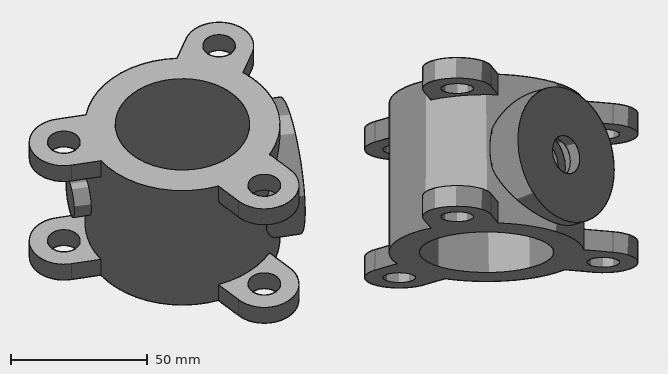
import cadquery as cq
import math

height = 57.15
mid_height = height / 2
tube_radius = 71.4375 / 2
bore_radius = 49.2125 / 2

lug_count = 3
first_lug_angle = 90
lug_circle_radius = 44.45
lug_radius = 12.7
lug_hole_radius = 11.90625 / 2
lug_thickness = 7.9375

boss_angle = 30
boss_radius = 25.4
boss_length = 14.2875
boss_start = 26.19375
boss_end = boss_start + boss_length

side_hole_radius = 14.2875 / 2
groove_radius = 22.225 / 2
groove_start = boss_start + 3.175
groove_width = 6.35

pin_angle = boss_angle + 180
pin_radius = side_hole_radius
pin_length = 6.35


def vertical_cylinder(radius):
    """Cylinder on the tube axis, over the full height."""
    return cq.Workplane("XY").circle(radius).extrude(height)


def radial_cylinder(angle, radius, start, length):
    """Level cylinder at mid height, pointing away from the tube axis."""
    direction = cq.Vector(math.cos(math.radians(angle)), math.sin(math.radians(angle)), 0)
    base = direction * start + cq.Vector(0, 0, mid_height)
    return cq.Workplane(cq.Solid.makeCylinder(radius, length, base, direction))


def make_lug(angle, bottom):
    """Round-ended lug reaching from the tube axis out to the lug circle."""
    profile = (
        cq.Workplane("XY")
        .moveTo(0, -lug_radius)
        .lineTo(lug_circle_radius, -lug_radius)
        .threePointArc((lug_circle_radius + lug_radius, 0), (lug_circle_radius, lug_radius))
        .lineTo(0, lug_radius)
        .close()
    )
    lug = profile.extrude(lug_thickness)
    return lug.rotate((0, 0, 0), (0, 0, 1), angle).translate((0, 0, bottom))


def make_lug_holes():
    """Holes through both rings of lugs."""
    return (
        cq.Workplane("XY")
        .polarArray(lug_circle_radius, first_lug_angle, 360, lug_count)
        .circle(lug_hole_radius)
        .extrude(height)
    )


def make_housing():
    """Tube with two rings of lugs and a grooved side boss."""
    body = vertical_cylinder(tube_radius)
    body = body.union(radial_cylinder(boss_angle, boss_radius, boss_start, boss_length))
    for i in range(lug_count):
        angle = first_lug_angle + i * 360 / lug_count
        for bottom in (0, height - lug_thickness):
            body = body.union(make_lug(angle, bottom))
    body = body.cut(vertical_cylinder(bore_radius))
    body = body.cut(make_lug_holes())
    body = body.cut(radial_cylinder(boss_angle, side_hole_radius, 0, boss_end))
    return body.cut(radial_cylinder(boss_angle, groove_radius, groove_start, groove_width))


def make_pin():
    """Short plain pin standing on the outside of the tube."""
    return radial_cylinder(pin_angle, pin_radius, tube_radius, pin_length)


housing = make_housing()
pin = make_pin()

result = cq.Compound.makeCompound([housing.solids().val(), pin.val()])